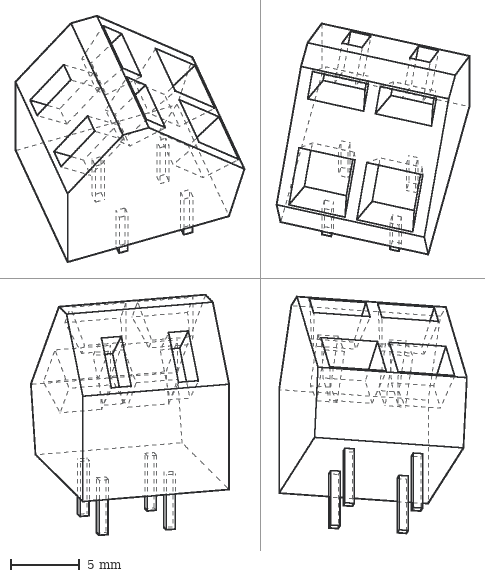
import cadquery as cq
import math

pitch = 5.08
pole_count = 2
side_margin = 0.458
housing_width = pole_count * pitch + 2 * side_margin

base_depth = 12.5
total_depth = 13.7
rear_corner_height = 5.0
front_wall_height = 8.0
housing_height = 13.0
ridge_front = 4.3
ridge_rear = 6.3

slot_width = 1.5
slot_length = 4.0
slot_depth = 3.0
slot_edge_gap = 0.48

pocket_width = 4.2
lower_pocket_length = 4.5
upper_pocket_length = 2.15
pocket_depth = 3.0
pocket_taper = 10.0
pocket_edge_gap = 0.2

pin_size = 0.69
pin_length = 4.2
front_pin_y = 5.3
pin_rows = 2
pin_row_spacing = 5.0

pole_positions = [(i - (pole_count - 1) / 2) * pitch for i in range(pole_count)]


def make_housing():
    profile = [
        (0, 0),
        (base_depth, 0),
        (total_depth, rear_corner_height),
        (ridge_rear, housing_height),
        (ridge_front, housing_height),
        (0, front_wall_height),
    ]
    return cq.Workplane("YZ").polyline(profile).close().extrude(housing_width / 2, both=True)


def slope_plane(foot, top, x_direction):
    """Plane on a sloped face: origin at its foot, local Y up the slope, normal outward.

    foot and top are (y, z) points; x_direction is +1 for the front slope, -1 for the rear.
    """
    rise_y = top[0] - foot[0]
    rise_z = top[1] - foot[1]
    normal = (0, -x_direction * rise_z, x_direction * rise_y)
    return cq.Plane(origin=(0, *foot), xDir=(x_direction, 0, 0), normal=normal)


def make_recesses(plane, centre_distance, width, length, depth, taper=0):
    """One rectangular recess per pole, cut square to the slope."""
    centres = [(x, centre_distance) for x in pole_positions]
    return cq.Workplane(plane).pushPoints(centres).rect(width, length).extrude(-depth, taper=taper)


def make_pins():
    centres = [(x, front_pin_y + row * pin_row_spacing) for x in pole_positions for row in range(pin_rows)]
    return cq.Workplane("XY").pushPoints(centres).rect(pin_size, pin_size).extrude(-pin_length)


front_slope = slope_plane((0, front_wall_height), (ridge_front, housing_height), 1)
rear_slope = slope_plane((total_depth, rear_corner_height), (ridge_rear, housing_height), -1)
rear_slope_length = math.hypot(total_depth - ridge_rear, housing_height - rear_corner_height)

slot_centre = slot_edge_gap + slot_length / 2
lower_pocket_centre = pocket_edge_gap + lower_pocket_length / 2
upper_pocket_centre = rear_slope_length - pocket_edge_gap - upper_pocket_length / 2

slots = make_recesses(front_slope, slot_centre, slot_width, slot_length, slot_depth)
lower_pockets = make_recesses(
    rear_slope, lower_pocket_centre, pocket_width, lower_pocket_length, pocket_depth, pocket_taper
)
upper_pockets = make_recesses(
    rear_slope, upper_pocket_centre, pocket_width, upper_pocket_length, pocket_depth, pocket_taper
)

result = make_housing().cut(slots).cut(lower_pockets).cut(upper_pockets).union(make_pins())